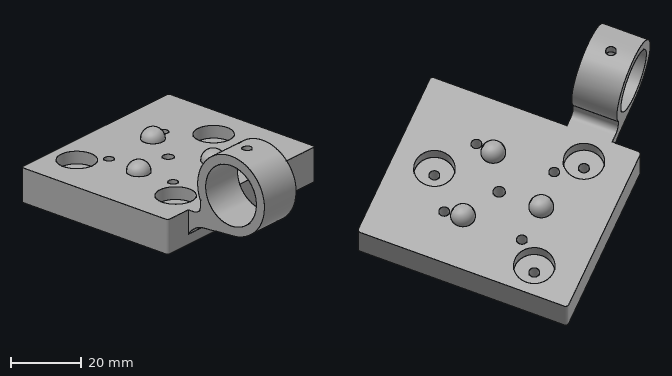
import cadquery as cq
import math

PLATE_LENGTH = 55.0
PLATE_WIDTH = 65.0
PLATE_HEIGHT = 11.0
CORNER_RADIUS = 1.0

CENTRE_HOLE_DIAMETER = 3.5
PLATE_HOLE_DIAMETER = 3.05
SQUARE_HOLE_SPACING = 24.0

COUNTERBORE_DIAMETER = 11.8
COUNTERBORE_DEPTH = 4.0
MOUNT_FRONT_OFFSET = 18.5
MOUNT_BACK_OFFSET = 20.0
MOUNT_POSITIONS = [
    (0, MOUNT_BACK_OFFSET),
    (-MOUNT_FRONT_OFFSET, -MOUNT_FRONT_OFFSET),
    (MOUNT_FRONT_OFFSET, -MOUNT_FRONT_OFFSET),
]

DOME_COUNT = 3
DOME_CIRCLE_RADIUS = 13.0
DOME_RADIUS = 3.55
FIRST_DOME_ANGLE = 30.0

RING_OUTER_RADIUS = 12.5
RING_BORE_DIAMETER = 19.0
RING_OVERHANG = 28.47
RING_TOP = 32.76
RING_WIDTH = 14.0
RING_CENTRE_Y = -16.5
RING_CENTRE_X = PLATE_LENGTH / 2 + RING_OVERHANG - RING_OUTER_RADIUS
RING_CENTRE_Z = RING_TOP - RING_OUTER_RADIUS
SET_SCREW_DIAMETER = 3.0

ARM_TOP_FILLET = 2.3
ARM_WALL_REACH = 4.5
UNDERSIDE_SLOPE_DEGREES = 4.0
ARM_ROOT_REACH = 6.1
ARM_ROOT_HEIGHT = 3.3
ARM_EMBED = 2 * CORNER_RADIUS


def make_plate():
    plate = cq.Workplane("XY").box(PLATE_LENGTH, PLATE_WIDTH, PLATE_HEIGHT, centered=(True, True, False))
    return plate.edges("|Z").fillet(CORNER_RADIUS)


def make_domes():
    """Spheres whose upper halves stand proud of the plate."""
    return (
        cq.Workplane("XY", origin=(0, 0, PLATE_HEIGHT))
        .polarArray(DOME_CIRCLE_RADIUS, FIRST_DOME_ANGLE, 360, DOME_COUNT)
        .sphere(DOME_RADIUS)
    )


def make_ring_and_arm():
    """Ring outline flowing into the arm, drawn in XZ and extruded along Y."""
    side_x = PLATE_LENGTH / 2
    inner_x = side_x - ARM_EMBED

    wall_x = side_x + ARM_WALL_REACH
    wall_top = RING_CENTRE_Z - math.sqrt(RING_OUTER_RADIUS**2 - (RING_CENTRE_X - wall_x) ** 2)
    fillet_start_x = wall_x - ARM_TOP_FILLET
    fillet_end = (wall_x, PLATE_HEIGHT + ARM_TOP_FILLET)

    slope = math.radians(UNDERSIDE_SLOPE_DEGREES)
    underside_start = (
        RING_CENTRE_X + RING_OUTER_RADIUS * math.sin(slope),
        RING_CENTRE_Z - RING_OUTER_RADIUS * math.cos(slope),
    )
    root_x = side_x + ARM_ROOT_REACH
    root_start = (root_x, underside_start[1] - (underside_start[0] - root_x) * math.tan(slope))

    far_angle = math.radians(45)
    ring_far_point = (
        RING_CENTRE_X + RING_OUTER_RADIUS * math.cos(far_angle),
        RING_CENTRE_Z + RING_OUTER_RADIUS * math.sin(far_angle),
    )

    outline = (
        cq.Workplane("XZ", origin=(0, RING_CENTRE_Y, 0))
        .moveTo(inner_x, PLATE_HEIGHT)
        .lineTo(fillet_start_x, PLATE_HEIGHT)
        .tangentArcPoint(fillet_end, relative=False)
        .lineTo(wall_x, wall_top)
        .threePointArc(ring_far_point, underside_start)
        .lineTo(*root_start)
        .tangentArcPoint((side_x, ARM_ROOT_HEIGHT), relative=False)
        .lineTo(inner_x, ARM_ROOT_HEIGHT)
        .close()
    )
    return outline.extrude(RING_WIDTH / 2, both=True)


def cut_plate_holes(body):
    top = cq.Workplane("XY", origin=(0, 0, PLATE_HEIGHT))
    centre_hole = top.circle(CENTRE_HOLE_DIAMETER / 2).extrude(-PLATE_HEIGHT)
    square_holes = (
        top.rect(SQUARE_HOLE_SPACING, SQUARE_HOLE_SPACING, forConstruction=True)
        .vertices()
        .circle(PLATE_HOLE_DIAMETER / 2)
        .extrude(-PLATE_HEIGHT)
    )
    mounts = top.pushPoints(MOUNT_POSITIONS)
    mount_holes = mounts.circle(PLATE_HOLE_DIAMETER / 2).extrude(-PLATE_HEIGHT)
    counterbores = mounts.circle(COUNTERBORE_DIAMETER / 2).extrude(-COUNTERBORE_DEPTH)
    return body.cut(centre_hole).cut(square_holes).cut(mount_holes).cut(counterbores)


def cut_ring_holes(body):
    """Ring bore along Y and a set-screw hole down through the top wall only."""
    bore = (
        cq.Workplane("XZ", origin=(RING_CENTRE_X, RING_CENTRE_Y, RING_CENTRE_Z))
        .circle(RING_BORE_DIAMETER / 2)
        .extrude(RING_WIDTH / 2, both=True)
    )
    set_screw = (
        cq.Workplane("XY", origin=(RING_CENTRE_X, RING_CENTRE_Y, RING_CENTRE_Z))
        .circle(SET_SCREW_DIAMETER / 2)
        .extrude(RING_OUTER_RADIUS)
    )
    return body.cut(bore).cut(set_screw)


body = make_plate().union(make_domes()).union(make_ring_and_arm())
result = cut_ring_holes(cut_plate_holes(body))